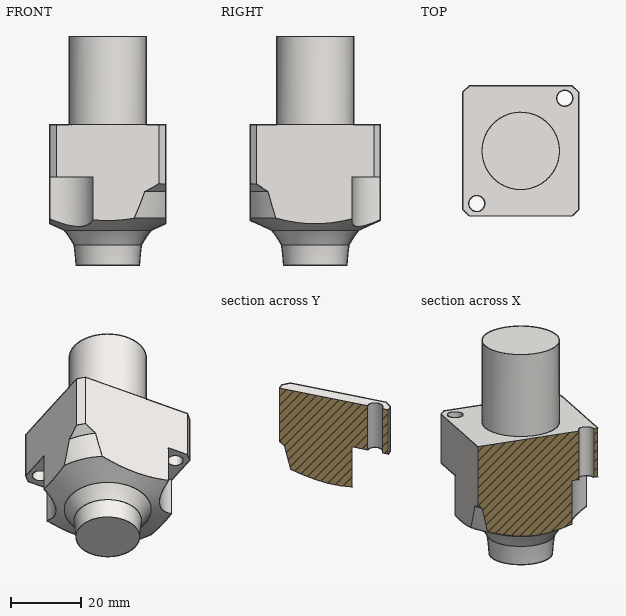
import cadquery as cq
import math

total_height = 65.0
block_x = 33.0
block_y = 37.0
block_top = 40.0
corner_cut_x = 1.95
corner_cut_y = 1.8
shank_diameter = 22.0

nose_radius = 9.05
collar_radius = 9.6
collar_height = 5.85
neck_radius = 12.35
neck_height = 9.95
skirt_radius = 19.95
skirt_height = 13.4
shoulder_radius = 21.25
shoulder_height = 20.9
corner_reach = math.hypot(block_x / 2 - corner_cut_x, block_y / 2)
shoulder_slope_top = shoulder_height + corner_reach - shoulder_radius
nose_hollow = 0.05
neck_hollow = 0.1

hole_diameter = 4.5
hole_x = 12.5
hole_y = 14.95
recess_top = 25.0
recess_radius = 10.0
recess_wall_y = 10.45
recess_arc_x = 14.0


def make_block():
    """Rectangular block with its four upright corners cut off."""
    half_x = block_x / 2
    half_y = block_y / 2
    inner_x = half_x - corner_cut_x
    inner_y = half_y - corner_cut_y
    outline = [
        (-inner_x, -half_y), (inner_x, -half_y),
        (half_x, -inner_y), (half_x, inner_y),
        (inner_x, half_y), (-inner_x, half_y),
        (-half_x, inner_y), (-half_x, -inner_y),
    ]
    return cq.Workplane("XY").polyline(outline).close().extrude(block_top)


def make_turned_envelope():
    """Revolved body that shapes the underside and trims the block corners."""
    nose_mid = ((nose_radius + collar_radius) / 2 - nose_hollow, collar_height / 2)
    neck_mid = ((collar_radius + neck_radius) / 2 - neck_hollow, (collar_height + neck_height) / 2)
    return (
        cq.Workplane("XZ")
        .lineTo(nose_radius, 0)
        .threePointArc(nose_mid, (collar_radius, collar_height))
        .threePointArc(neck_mid, (neck_radius, neck_height))
        .lineTo(skirt_radius, skirt_height)
        .lineTo(shoulder_radius, shoulder_height)
        .lineTo(corner_reach, shoulder_slope_top)
        .lineTo(corner_reach, block_top)
        .lineTo(0, block_top)
        .close()
        .revolve(360, (0, 0), (0, 1))
    )


def make_shank():
    """Round shank standing on the block."""
    return (
        cq.Workplane("XY").workplane(offset=block_top)
        .circle(shank_diameter / 2)
        .extrude(total_height - block_top)
    )


def make_corner_recess():
    """Cutter for the -X -Y corner: a flat wall running into a round one."""
    arc_center_y = -recess_wall_y - recess_radius
    arc_mid = recess_radius * math.sqrt(0.5)
    return (
        cq.Workplane("XY")
        .moveTo(-block_x / 2, -recess_wall_y)
        .lineTo(-recess_arc_x, -recess_wall_y)
        .threePointArc(
            (-recess_arc_x + arc_mid, arc_center_y + arc_mid),
            (-recess_arc_x + recess_radius, arc_center_y),
        )
        .lineTo(-block_x / 2, arc_center_y)
        .close()
        .extrude(recess_top)
    )


def make_screw_hole():
    """Cutter for the hole from the block top down through the recess."""
    return cq.Workplane("XY").center(-hole_x, -hole_y).circle(hole_diameter / 2).extrude(block_top)


result = make_block().intersect(make_turned_envelope()).union(make_shank())
corner_cutter = make_corner_recess().union(make_screw_hole())
for turn in (0, 180):
    result = result.cut(corner_cutter.rotate((0, 0, 0), (0, 0, 1), turn))